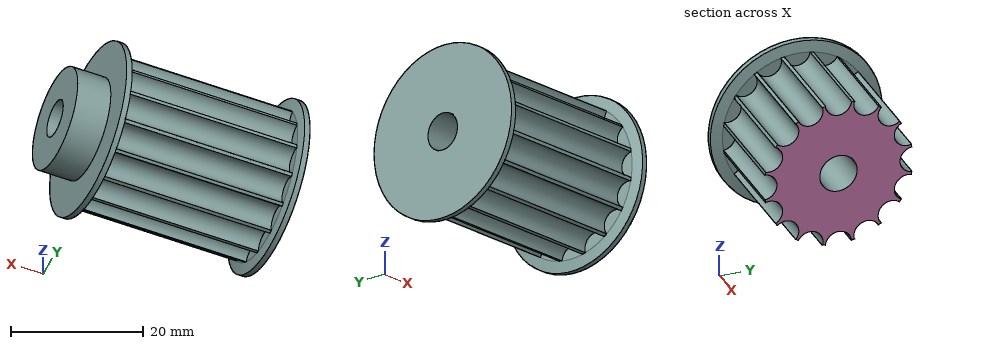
import cadquery as cq
import math

total_length = 36.0
bore_diameter = 6.0
hub_diameter = 16.5
hub_length = 5.5

flange_diameter = 28.0
flange_rim_width = 0.925
flange_thickness = 1.25

tooth_count = 16
belt_pitch = 5.0
pitch_line_offset = 0.57
tooth_tip_radius = tooth_count * belt_pitch / (2 * math.pi) - pitch_line_offset
tooth_land_width = 0.575
groove_depth = 2.1

left_end = -total_length / 2
right_end = total_length / 2
pulley_length = total_length - hub_length
toothed_length = pulley_length - 2 * flange_thickness


def disc(x_start, radius, length):
    """Solid cylinder along +X starting at x_start."""
    return cq.Workplane("YZ", origin=(x_start, 0, 0)).circle(radius).extrude(length)


def flange(x_outer, inward):
    """Flange with a flat outer face and a conical inner face; inward is +1 or -1 along X."""
    x_rim = x_outer + inward * flange_rim_width
    x_inner = x_outer + inward * flange_thickness
    rim_radius = flange_diameter / 2
    profile = [
        (x_outer, 0),
        (x_outer, rim_radius),
        (x_rim, rim_radius),
        (x_inner, tooth_tip_radius),
        (x_inner, 0),
    ]
    return cq.Workplane("XY").polyline(profile).close().revolve(360, (0, 0, 0), (1, 0, 0))


def groove_cutters(x_start, length):
    """Ring of round-bottomed belt grooves, one centred on +Y."""
    pitch_angle = 2 * math.pi / tooth_count
    half_groove_angle = (pitch_angle - tooth_land_width / tooth_tip_radius) / 2
    mouth_radius = tooth_tip_radius * math.cos(half_groove_angle)
    half_mouth = tooth_tip_radius * math.sin(half_groove_angle)
    clearance_radius = flange_diameter / 2
    cutter = (
        cq.Workplane("YZ", origin=(x_start, 0, 0))
        .moveTo(clearance_radius, -half_mouth)
        .lineTo(mouth_radius, -half_mouth)
        .threePointArc((tooth_tip_radius - groove_depth, 0), (mouth_radius, half_mouth))
        .lineTo(clearance_radius, half_mouth)
        .close()
        .extrude(length)
    )
    cutters = cq.Workplane("XY")
    for index in range(tooth_count):
        angle = math.degrees(index * pitch_angle)
        cutters = cutters.add(cutter.rotate((0, 0, 0), (1, 0, 0), angle))
    return cutters.combine()


toothed_start = left_end + flange_thickness
toothed_core = disc(toothed_start, tooth_tip_radius, toothed_length)
toothed_core = toothed_core.cut(groove_cutters(toothed_start, toothed_length))

left_flange = flange(left_end, 1)
right_flange = flange(left_end + pulley_length, -1)
hub = disc(right_end - hub_length, hub_diameter / 2, hub_length)
bore = disc(left_end, bore_diameter / 2, total_length)

result = toothed_core.union(left_flange).union(right_flange).union(hub).cut(bore)